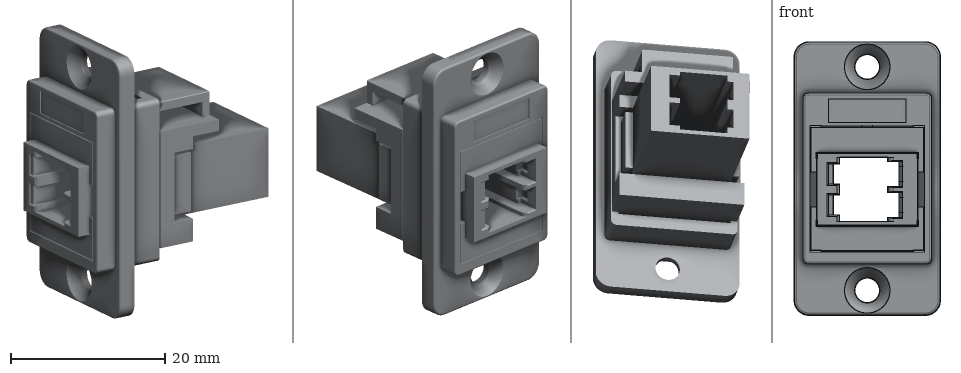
import cadquery as cq


PLATE_WIDTH = 19.0
PLATE_HEIGHT = 35.5
PLATE_THICKNESS = 2.3
PLATE_CORNER_RADIUS = 2.0
PLATE_EDGE_FILLET = 0.3
SCREW_OFFSET = 14.5
SCREW_DIAMETER = 3.2
SINK_DIAMETER = 5.9
SINK_ANGLE = 90

COLLAR_WIDTH = 16.7
COLLAR_HEIGHT = 22.2
COLLAR_FRONT = -2.75
COLLAR_BACK = 7.0
COLLAR_CORNER_RADIUS = 0.7
COLLAR_EDGE_FILLET = 0.25

LABEL_WIDTH = 10.0
LABEL_BOTTOM = 7.3
LABEL_TOP = 10.35
LABEL_DEPTH = 0.15

CLIP_WIDTH = 14.6
CLIP_TOP = 6.65
CLIP_BOTTOM = -9.3
SIDE_CLEARANCE = 0.1
END_CLEARANCE = 0.2

SHOULDER_WIDTH = 16.5
SHOULDER_FRONT = 7.2
SHOULDER_SLOT_FRONT = 9.4
LOWER_BLOCK_BACK = 12.25
UPPER_BLOCK_BACK = 16.3
UPPER_BLOCK_BOTTOM = 5.1

SIDE_NOTCH_TOP = 0.85
SIDE_NOTCH_BOTTOM = -3.65

ARM_WIDTH = 12.0
ARM_UNDERSIDE = 8.6
ARM_TOP_AT_LATCH = 9.8
ARM_TOP_AT_BACK = 9.9
ARM_POST_FRONT = 15.2
ARM_EDGE_FILLET = 0.15
ARM_RIB_WIDTH = 1.3
ARM_RIB_FRONT = 10.7
LATCH_TIP = 3.1
LATCH_RAMP_START = 9.55
LATCH_CREST_FRONT = 5.05
LATCH_CREST_BACK = 5.45
LATCH_CREST_TOP = 10.7
LOWER_CATCH_FRONT = 5.0
LOWER_CATCH_BACK = 5.5

ARM_SPACE_WIDTH = 13.0
ARM_SPACE_TOP = 10.1
WINDOW_BACK = LATCH_CREST_BACK + SIDE_CLEARANCE

JACK_WIDTH = 13.0
JACK_HEIGHT = 9.35
JACK_CENTRE_Z = -1.4
JACK_FRONT = -4.4
JACK_BACK = 25.2
JACK_CLEARANCE = 0.1

TAB_SPAN = 15.0
TAB_HEIGHT = 8.0
TAB_BACK = 12.45

BORE_HALF_HEIGHT = 4.15
BORE_LEFT = -4.4
BORE_RIGHT = 4.1
LEFT_RIB_TIP = -3.6
RIGHT_RAIL_TIP = 2.65
LEFT_SLOT = (0.7, 3.3)
RIGHT_SLOT = (0.37, 3.62)
LEFT_SOCKET_WALL = -5.0
RIGHT_SOCKET_WALL = 4.6
RIGHT_SOCKET_DEPTH = 2.85
LEAD_IN_LEFT = 0.2
LEAD_IN_RIGHT = 0.13
RIB_TIP_CHAMFER = 0.3
RAIL_TIP_RADIUS = 0.75

LATCH_POCKET_BOTTOM = 1.03
LATCH_POCKET_TOP = 3.0
LATCH_POCKET_WALL = 5.2
LATCH_POCKET_SETBACK = 1.6
LATCH_POCKET_LENGTH = 1.6


def box(x_range, y_range, z_range):
    """Rectangular block between the given limits."""
    (x0, x1), (y0, y1), (z0, z1) = x_range, y_range, z_range
    return cq.Workplane("XY").box(x1 - x0, y1 - y0, z1 - z0, centered=False).translate((x0, y0, z0))


def centred(width):
    """Limits of a width that is centred on X = 0."""
    return (-width / 2, width / 2)


def extrude_across(points, width):
    """Solid from a (Y, Z) outline, centred on X = 0."""
    return cq.Workplane("YZ").polyline(points).close().extrude(width / 2, both=True)


def rounded_slab(width, height, y_range, corner_radius, edge_fillet):
    """Upright slab with rounded corners and a rounded front edge."""
    slab = box(centred(width), y_range, centred(height))
    return slab.edges("|Y").fillet(corner_radius).faces("<Y").edges().fillet(edge_fillet)


def make_frame():
    plate = rounded_slab(
        PLATE_WIDTH, PLATE_HEIGHT, (0, PLATE_THICKNESS), PLATE_CORNER_RADIUS, PLATE_EDGE_FILLET
    )
    plate = (
        plate.faces("<Y").workplane(origin=(0, 0, 0))
        .pushPoints([(0, -SCREW_OFFSET), (0, SCREW_OFFSET)])
        .cskHole(SCREW_DIAMETER, SINK_DIAMETER, SINK_ANGLE)
    )
    collar = rounded_slab(
        COLLAR_WIDTH, COLLAR_HEIGHT, (COLLAR_FRONT, COLLAR_BACK), COLLAR_CORNER_RADIUS, COLLAR_EDGE_FILLET
    )
    label_recess = box(
        centred(LABEL_WIDTH), (COLLAR_FRONT, COLLAR_FRONT + LABEL_DEPTH), (LABEL_BOTTOM, LABEL_TOP)
    )
    opening_top = CLIP_TOP + END_CLEARANCE
    opening = box(
        centred(CLIP_WIDTH + 2 * SIDE_CLEARANCE),
        (COLLAR_FRONT, COLLAR_BACK),
        (CLIP_BOTTOM - END_CLEARANCE, opening_top),
    )
    arm_space = box(centred(ARM_SPACE_WIDTH), (PLATE_THICKNESS, COLLAR_BACK), (opening_top, ARM_SPACE_TOP))
    latch_window = box(
        centred(ARM_SPACE_WIDTH), (PLATE_THICKNESS, WINDOW_BACK), (ARM_SPACE_TOP, COLLAR_HEIGHT / 2)
    )
    return plate.union(collar).cut(label_recess).cut(opening).cut(arm_space).cut(latch_window)


def make_clip_arm():
    """Spring arm on a rear post, stiffened by a rib, with a latch at its tip."""
    arm = extrude_across(
        [
            (UPPER_BLOCK_BACK, CLIP_TOP),
            (UPPER_BLOCK_BACK, ARM_TOP_AT_BACK),
            (LATCH_CREST_BACK, ARM_TOP_AT_LATCH),
            (LATCH_CREST_BACK, ARM_UNDERSIDE),
            (ARM_POST_FRONT, ARM_UNDERSIDE),
            (ARM_POST_FRONT, CLIP_TOP),
        ],
        ARM_WIDTH,
    )
    top_face_edges = arm.faces(">Z").edges("not |X")
    arm = top_face_edges.fillet(ARM_EDGE_FILLET)
    latch = extrude_across(
        [
            (LATCH_TIP, ARM_UNDERSIDE),
            (LATCH_TIP, LATCH_RAMP_START),
            (LATCH_CREST_FRONT, LATCH_CREST_TOP),
            (LATCH_CREST_BACK, LATCH_CREST_TOP),
            (LATCH_CREST_BACK, ARM_UNDERSIDE),
        ],
        ARM_WIDTH,
    )
    rib = box(centred(ARM_RIB_WIDTH), (ARM_RIB_FRONT, ARM_POST_FRONT), (CLIP_TOP, ARM_UNDERSIDE))
    return arm.union(latch).union(rib)


def make_clip():
    passage_width = JACK_WIDTH + 2 * JACK_CLEARANCE
    passage_half_height = JACK_HEIGHT / 2 + JACK_CLEARANCE
    passage_top = JACK_CENTRE_Z + passage_half_height
    passage_bottom = JACK_CENTRE_Z - passage_half_height

    nose = box(centred(CLIP_WIDTH), (COLLAR_FRONT, SHOULDER_FRONT), (CLIP_BOTTOM, CLIP_TOP))
    side_notches = box(
        centred(CLIP_WIDTH), (COLLAR_FRONT, SHOULDER_FRONT), (SIDE_NOTCH_BOTTOM, SIDE_NOTCH_TOP)
    )
    shoulder = extrude_across(
        [
            (SHOULDER_FRONT, CLIP_TOP),
            (UPPER_BLOCK_BACK, CLIP_TOP),
            (UPPER_BLOCK_BACK, UPPER_BLOCK_BOTTOM),
            (LOWER_BLOCK_BACK, UPPER_BLOCK_BOTTOM),
            (LOWER_BLOCK_BACK, passage_top),
            (SHOULDER_SLOT_FRONT, passage_top),
            (SHOULDER_SLOT_FRONT, passage_bottom),
            (LOWER_BLOCK_BACK, passage_bottom),
            (LOWER_BLOCK_BACK, CLIP_BOTTOM),
            (SHOULDER_FRONT, CLIP_BOTTOM),
        ],
        SHOULDER_WIDTH,
    )
    passage = box(
        centred(passage_width), (COLLAR_FRONT, SHOULDER_SLOT_FRONT), (passage_bottom, passage_top)
    )
    lower_catch = extrude_across(
        [
            (LOWER_CATCH_FRONT, CLIP_BOTTOM),
            (LOWER_CATCH_BACK, CLIP_BOTTOM - END_CLEARANCE),
            (LOWER_CATCH_BACK, CLIP_BOTTOM),
        ],
        ARM_WIDTH,
    )
    body = nose.cut(side_notches).union(shoulder).cut(passage)
    return body.union(lower_catch).union(make_clip_arm())


def flared_slot(x_range, z_range, y_range, lead_in, flare_left):
    """Slot whose front edges slope outwards above, below and, if asked, on the left."""
    side_lead_in = lead_in if flare_left else 0
    width = x_range[1] - x_range[0]
    height = z_range[1] - z_range[0]
    flare = (
        cq.Workplane("XZ", origin=(sum(x_range) / 2, JACK_FRONT, sum(z_range) / 2))
        .center(-side_lead_in / 2, 0)
        .rect(width + side_lead_in, height + 2 * lead_in)
        .workplane(offset=-lead_in)
        .center(side_lead_in / 2, 0)
        .rect(width, height)
        .loft(ruled=True)
    )
    return box(x_range, y_range, z_range).union(flare)


def make_centre_bore():
    """Middle of the bore, chamfered at the rib tips and rounded at the rail tips."""
    return (
        cq.Workplane("XY")
        .moveTo(LEFT_RIB_TIP - RIB_TIP_CHAMFER, JACK_FRONT)
        .lineTo(LEFT_RIB_TIP, JACK_FRONT + RIB_TIP_CHAMFER)
        .lineTo(LEFT_RIB_TIP, JACK_BACK)
        .lineTo(RIGHT_RAIL_TIP, JACK_BACK)
        .lineTo(RIGHT_RAIL_TIP, JACK_FRONT + RAIL_TIP_RADIUS)
        .radiusArc((RIGHT_RAIL_TIP + RAIL_TIP_RADIUS, JACK_FRONT), -RAIL_TIP_RADIUS)
        .close()
        .extrude(BORE_HALF_HEIGHT, both=True)
        .translate((0, 0, JACK_CENTRE_Z))
    )


def make_jack():
    height_range = (JACK_CENTRE_Z - JACK_HEIGHT / 2, JACK_CENTRE_Z + JACK_HEIGHT / 2)
    tab_range = (JACK_CENTRE_Z - TAB_HEIGHT / 2, JACK_CENTRE_Z + TAB_HEIGHT / 2)
    jack = box(centred(JACK_WIDTH), (JACK_FRONT, JACK_BACK), height_range)
    jack = jack.union(box(centred(TAB_SPAN), (SHOULDER_SLOT_FRONT, TAB_BACK), tab_range))
    jack = jack.cut(make_centre_bore())

    full_length = (JACK_FRONT, JACK_BACK)
    left_socket_length = (JACK_FRONT, JACK_FRONT + LEAD_IN_LEFT)
    right_socket_length = (JACK_FRONT, JACK_FRONT + RIGHT_SOCKET_DEPTH)
    pocket_start = JACK_FRONT + LATCH_POCKET_SETBACK
    pocket_length = (pocket_start, pocket_start + LATCH_POCKET_LENGTH)
    for side in (1, -1):
        left_z = sorted(JACK_CENTRE_Z + side * offset for offset in LEFT_SLOT)
        right_z = sorted(JACK_CENTRE_Z + side * offset for offset in RIGHT_SLOT)
        jack = jack.cut(box((BORE_LEFT, LEFT_RIB_TIP), full_length, left_z))
        jack = jack.cut(box((RIGHT_RAIL_TIP, BORE_RIGHT), full_length, right_z))
        left_x = (LEFT_SOCKET_WALL, LEFT_RIB_TIP)
        right_x = (RIGHT_RAIL_TIP, RIGHT_SOCKET_WALL)
        jack = jack.cut(flared_slot(left_x, left_z, left_socket_length, LEAD_IN_LEFT, True))
        jack = jack.cut(flared_slot(right_x, right_z, right_socket_length, LEAD_IN_RIGHT, False))
        pocket_z = sorted(JACK_CENTRE_Z + side * h for h in (LATCH_POCKET_BOTTOM, LATCH_POCKET_TOP))
        jack = jack.cut(box((BORE_RIGHT, LATCH_POCKET_WALL), pocket_length, pocket_z))
    return jack


frame = make_frame()
clip = make_clip()
jack = make_jack()

result = cq.Compound.makeCompound([frame.solids().val(), clip.solids().val(), jack.solids().val()])